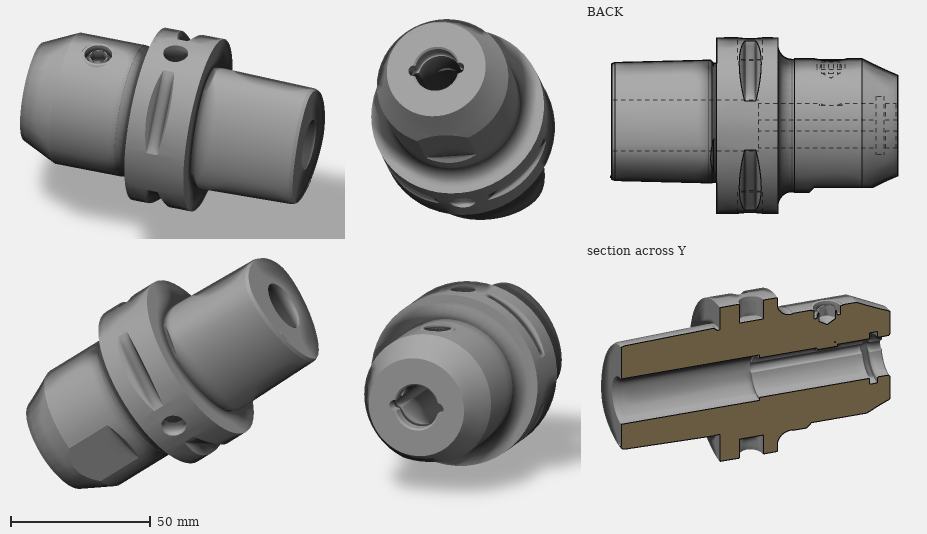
import cadquery as cq
import math

TOTAL_LENGTH = 103.0

NOSE_DIA = 36.0
BODY_DIA = 48.0
NECK_DIA = 47.6
FLANGE_DIA = 63.0
NOSE_CONE_END = 12.8
BODY_END = 37.1
FLANGE_FILLET = 4.9
FLANGE_START = 43.0
FLANGE_END = 65.0

LOBE_RISE = 1.4
SHANK_RADIUS = 22.0
ROOT_RADIUS = 21.9
ROOT_END = 66.7
LAND_END = 68.0
SHANK_END = 102.7
SHANK_TAPER = 1 / 40
END_CHAMFER_LENGTH = 1.2
END_CHAMFER_RISE = 0.5
RELIEF_RADIUS = 22.5
RELIEF_LENGTH = 1.1
OUTLINE_POINTS = 36
LIP_WIDTH = 3.5
LIP_HEIGHT = 0.6
LIP_CENTER_Z = -18.3

BORE_DIA = 16.0
BORE_END = 50.0
BORE_CHAMFER = 0.6
REAR_BORE_DIA = 18.3
GROOVE_DIA = 20.8
GROOVE_CHAMFER_START = 4.4
GROOVE_CHAMFER = 0.5
GROOVE_END = 7.7
KEYWAY_WIDTH = 4.0
KEYWAY_SPAN = 20.4

SCREW_X = 24.0
SPOT_DIA = 11.8
SPOT_Z = 23.7
SPOT_FLANK = 1.0
SCREW_HOLE_DIA = 10.0
SCREW_HOLE_DEPTH = 3.5
SCREW_NECK_DIA = 8.0
SCREW_HEAD_DIA = 6.6
SCREW_HEAD_HEIGHT = 2.7
HEX_ACROSS_FLATS = 6.0
HEX_DEPTH = 4.1
HEX_TURN = 15
SOCKET_TIP_HEIGHT = 1.8
SCREW_TIP_DIA = 8.0
SCREW_TIP_Z = 7.2

FLAT_Z = -22.1
FLAT_END = 30.0

GRIP_X = 52.9
GRIP_FLOOR_RADIUS = 27.6
GRIP_FLOOR_WIDTH = 4.0
GRIP_FLOOR_FILLET = 0.4
GRIP_WALL_SLOPE = 0.5
GRIP_ANGLES = (45, 135, 225, 315)
FLANGE_HOLE_DIA = 9.0


def x_cylinder(dia, start, end):
    return cq.Workplane("YZ", origin=(start, 0, 0)).circle(dia / 2).extrude(end - start)


def z_cylinder(dia, x, bottom, top):
    return cq.Workplane("XY", origin=(x, 0, bottom)).circle(dia / 2).extrude(top - bottom)


def z_cone(x, bottom, bottom_dia, top, top_dia):
    cone = cq.Solid.makeCone(bottom_dia / 2, top_dia / 2, top - bottom, cq.Vector(x, 0, bottom))
    return cq.Workplane(obj=cone)


def turned(profile):
    """Revolve a profile drawn in (x, radius) about the X axis."""
    return profile.close().revolve(360, (0, 0, 0), (1, 0, 0))


def body():
    fillet_start = FLANGE_START - FLANGE_FILLET
    neck_radius = NECK_DIA / 2
    fillet_top = neck_radius + FLANGE_FILLET
    diagonal = FLANGE_FILLET * math.sqrt(0.5)
    profile = (
        cq.Workplane("XY")
        .lineTo(0, NOSE_DIA / 2)
        .lineTo(NOSE_CONE_END, BODY_DIA / 2)
        .lineTo(BODY_END, BODY_DIA / 2)
        .lineTo(BODY_END, neck_radius)
        .lineTo(fillet_start, neck_radius)
        .threePointArc((fillet_start + diagonal, fillet_top - diagonal), (FLANGE_START, fillet_top))
        .lineTo(FLANGE_START, FLANGE_DIA / 2)
        .lineTo(FLANGE_END, FLANGE_DIA / 2)
        .lineTo(FLANGE_END, 0)
    )
    return turned(profile)


def lobed_wire(x, mean_radius):
    """Closed three-lobed curve of constant width, with one lobe toward +Z."""
    points = []
    for i in range(OUTLINE_POINTS):
        angle = 2 * math.pi * i / OUTLINE_POINTS
        reach = mean_radius + LOBE_RISE * math.cos(3 * angle)
        rate = -3 * LOBE_RISE * math.sin(3 * angle)
        y = reach * math.sin(angle) + rate * math.cos(angle)
        z = reach * math.cos(angle) - rate * math.sin(angle)
        points.append(cq.Vector(x, y, z))
    return cq.Wire.assembleEdges([cq.Edge.makeSpline(points, periodic=True)])


def lobed_section(start, start_radius, end, end_radius):
    wires = [lobed_wire(start, start_radius), lobed_wire(end, end_radius)]
    return cq.Workplane(obj=cq.Solid.makeLoft(wires, True))


def shank():
    chamfer_start = SHANK_END - END_CHAMFER_LENGTH
    tip_radius = SHANK_RADIUS - (chamfer_start - LAND_END) * SHANK_TAPER
    root = lobed_section(FLANGE_END, ROOT_RADIUS, ROOT_END, ROOT_RADIUS)
    land = lobed_section(ROOT_END, SHANK_RADIUS, LAND_END, SHANK_RADIUS)
    taper = lobed_section(LAND_END, SHANK_RADIUS, chamfer_start, tip_radius)
    chamfer = lobed_section(chamfer_start, tip_radius, SHANK_END, tip_radius - END_CHAMFER_RISE)
    return root.union(land).union(taper).union(chamfer)


def lobe_relief():
    """Ring that trims the lobe crests beside the flange."""
    outer = FLANGE_DIA / 2
    relief_end = FLANGE_END + RELIEF_LENGTH
    profile = (
        cq.Workplane("XY")
        .moveTo(FLANGE_END, RELIEF_RADIUS)
        .lineTo(relief_end, RELIEF_RADIUS)
        .lineTo(relief_end + outer - RELIEF_RADIUS, outer)
        .lineTo(FLANGE_END, outer)
    )
    return turned(profile)


def end_lip():
    """Small lip that stands out of the shank end face."""
    return (
        cq.Workplane("YZ", origin=(SHANK_END - END_CHAMFER_LENGTH, 0, LIP_CENTER_Z))
        .rect(LIP_WIDTH, LIP_HEIGHT)
        .extrude(TOTAL_LENGTH - SHANK_END + END_CHAMFER_LENGTH)
    )


def bore():
    bore_radius = BORE_DIA / 2
    groove_radius = GROOVE_DIA / 2
    rear_radius = REAR_BORE_DIA / 2
    groove_start = GROOVE_CHAMFER_START + GROOVE_CHAMFER
    profile = (
        cq.Workplane("XY")
        .lineTo(0, bore_radius + BORE_CHAMFER)
        .lineTo(BORE_CHAMFER, bore_radius)
        .lineTo(GROOVE_CHAMFER_START, bore_radius)
        .lineTo(groove_start, bore_radius + GROOVE_CHAMFER)
        .lineTo(groove_start, groove_radius)
        .lineTo(GROOVE_END, groove_radius)
        .lineTo(GROOVE_END, bore_radius)
        .lineTo(BORE_END, bore_radius)
        .lineTo(BORE_END, rear_radius)
        .lineTo(TOTAL_LENGTH, rear_radius)
        .lineTo(TOTAL_LENGTH, 0)
    )
    keyways = cq.Workplane("YZ").slot2D(KEYWAY_SPAN, KEYWAY_WIDTH).extrude(BORE_END)
    return turned(profile).union(keyways)


def spot_pad():
    """Cone under the screw seat that fills out the falling sides of the body."""
    return z_cone(SCREW_X, SPOT_Z - SPOT_FLANK, SPOT_DIA + 2 * SPOT_FLANK, SPOT_Z, SPOT_DIA)


def screw_recess():
    """Screw hole with the conical screw head standing in it, and the hex socket."""
    floor_z = SPOT_Z - SCREW_HOLE_DEPTH
    head_z = floor_z + SCREW_HEAD_HEIGHT
    hex_bottom = head_z - HEX_DEPTH
    hex_corners = HEX_ACROSS_FLATS / math.cos(math.pi / 6)
    spot = z_cylinder(SPOT_DIA, SCREW_X, SPOT_Z, BODY_DIA / 2)
    hole = z_cylinder(SCREW_HOLE_DIA, SCREW_X, floor_z, SPOT_Z)
    head = z_cone(SCREW_X, floor_z, SCREW_NECK_DIA, head_z, SCREW_HEAD_DIA)
    hexagon = (
        cq.Workplane("XY", origin=(SCREW_X, 0, hex_bottom))
        .transformed(rotate=(0, 0, HEX_TURN))
        .polygon(6, hex_corners)
        .extrude(HEX_DEPTH)
    )
    tip = z_cone(SCREW_X, hex_bottom - SOCKET_TIP_HEIGHT, 0, hex_bottom, HEX_ACROSS_FLATS)
    return spot.union(hole).cut(head).union(hexagon).union(tip)


def screw_tip():
    """End of the clamping screw, which reaches a little way into the bore."""
    return z_cylinder(SCREW_TIP_DIA, SCREW_X, SCREW_TIP_Z, KEYWAY_SPAN / 2)


def underside_flat():
    depth = BODY_DIA / 2 + FLAT_Z
    profile = (
        cq.Workplane("XZ")
        .moveTo(0, FLAT_Z)
        .lineTo(FLAT_END, FLAT_Z)
        .lineTo(FLAT_END + depth, FLAT_Z - depth)
        .lineTo(0, FLAT_Z - depth)
        .close()
    )
    return profile.extrude(BODY_DIA / 2, both=True)


def grip_slot(angle):
    """Tangential slot across the flange with a flat floor and sloping walls."""
    depth = FLANGE_DIA / 2 - GRIP_FLOOR_RADIUS
    half_floor = GRIP_FLOOR_WIDTH / 2
    half_mouth = half_floor + depth * GRIP_WALL_SLOPE
    slot = (
        cq.Workplane("XZ", origin=(GRIP_X, 0, GRIP_FLOOR_RADIUS))
        .moveTo(-half_floor, 0)
        .lineTo(half_floor, 0)
        .lineTo(half_mouth, depth)
        .lineTo(-half_mouth, depth)
        .close()
        .extrude(FLANGE_DIA / 2, both=True)
        .faces("<Z")
        .edges("|Y")
        .fillet(GRIP_FLOOR_FILLET)
    )
    return slot.rotate((0, 0, 0), (1, 0, 0), angle)


def flange_holes():
    """Two opposite radial holes whose floors follow a cylinder of the neck diameter."""
    radius = FLANGE_DIA / 2
    through = z_cylinder(FLANGE_HOLE_DIA, GRIP_X, -radius, radius)
    return through.cut(x_cylinder(NECK_DIA, FLANGE_START, FLANGE_END))


result = body().union(shank().cut(lobe_relief())).union(end_lip())
result = result.union(spot_pad())
result = result.cut(bore())
result = result.union(screw_tip())
result = result.cut(screw_recess())
result = result.cut(underside_flat())
for grip_angle in GRIP_ANGLES:
    result = result.cut(grip_slot(grip_angle))
result = result.cut(flange_holes())